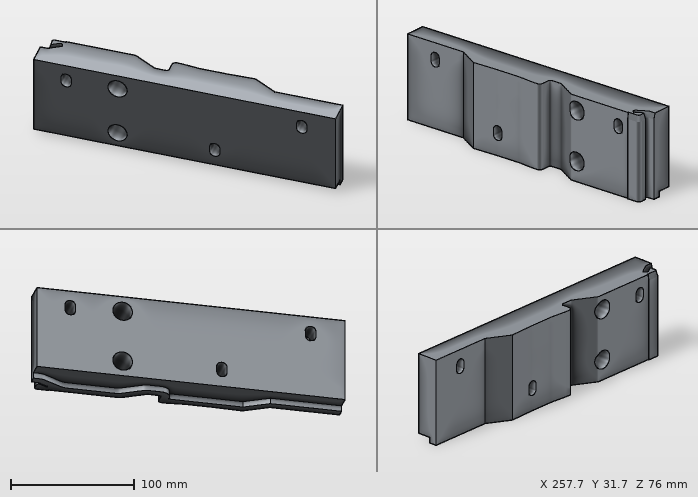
import cadquery as cq
import math

length = 257.7
height = 76.0
crest_y = 31.7
land_y = 31.0
hollow_y = 30.2
low_y = 19.3
ramp_angle = math.radians(30)
ramp_run = (land_y - low_y) / math.tan(ramp_angle)

first_ramp_x = 77.0
wall_x = 108.7
crest_end_x = 116.0
hollow_start_x = 132.2
hollow_bottom_x = 154.5
second_ramp_x = 179.4
wall_top_round = 3.4

ledge_end_x = 6.0
hook_left_x = 4.6
hook_tip_x = 6.0
hook_end_x = 17.5
hook_round = 3.4
hook_tip_round = 1.8
slit_width = 1.3
slit_tip_x = 15.2
slit_tip_round = 0.49 * slit_width

relief_width = 1.5
relief_depth = 5.5
relief_floor_y = 16.8
relief_margin = 5.2

lip_height = 5.0
lip_thickness = 7.2
lip_round = 11.5
lip_wall_round = 9.3
lip_slit_start_x = 7.7
lip_first_ramp_x = 74.0
lip_second_ramp_x = 178.0

ramp_round = lip_round - lip_thickness
wall_foot_round = lip_wall_round - lip_thickness

round_hole_diameter = 16.2
round_hole_x = 71.6
round_hole_heights = (18.0, 63.0)
slot_width = 8.8
slot_length = 13.0
slot_centres = ((27.8, 61.0), (228.8, 61.0), (154.5, 20.0))


def rounded_outline(corners, base_z=0):
    """Closed outline from (x, y, radius) corners, each radius a tangent arc."""
    sketch = cq.Workplane("XY").workplane(offset=base_z)
    for index, (x, y, radius) in enumerate(corners):
        corner = cq.Vector(x, y)
        before = cq.Vector(*corners[index - 1][:2])
        after = cq.Vector(*corners[(index + 1) % len(corners)][:2])
        back = (before - corner).normalized()
        ahead = (after - corner).normalized()
        half_angle = back.getAngle(ahead) / 2
        setback = radius / math.tan(half_angle)
        entry = corner + back * setback
        draw_to = sketch.lineTo if index else sketch.moveTo
        sketch = draw_to(entry.x, entry.y)
        if radius:
            bisector = (back + ahead).normalized()
            middle = corner + bisector * (radius / math.sin(half_angle) - radius)
            leave = corner + ahead * setback
            sketch = sketch.threePointArc(middle.toTuple()[:2], leave.toTuple()[:2])
    return sketch.close()


def slit_y(x, offset=0):
    """Height at x of a line parallel to the lower slit face, offset above it."""
    return low_y + (x - ledge_end_x) * math.tan(ramp_angle) + offset / math.cos(ramp_angle)


def hook_corners():
    """Corners from the ledge, around the slit, to the top of the hook."""
    end_upper_x = slit_tip_x - slit_width * math.sin(ramp_angle)
    return [
        (ledge_end_x, low_y, ramp_round),
        (slit_tip_x, slit_y(slit_tip_x), slit_tip_round),
        (end_upper_x, slit_y(end_upper_x, slit_width), slit_tip_round),
        (hook_tip_x, slit_y(hook_tip_x, slit_width), hook_tip_round),
        (hook_left_x, crest_y, hook_round),
    ]


def plate():
    corners = [(0, 0, 0), (0, low_y, 0)] + hook_corners() + [
        (hook_end_x, crest_y, 0),
        (hook_end_x, land_y, 0),
        (first_ramp_x, land_y, ramp_round),
        (first_ramp_x + ramp_run, low_y, ramp_round),
        (wall_x, low_y, wall_foot_round),
        (wall_x, crest_y, wall_top_round),
        (crest_end_x, crest_y, 0),
        (hollow_start_x, hollow_y, 0),
        (hollow_bottom_x, hollow_y, 0),
        (second_ramp_x, land_y, 0),
        (second_ramp_x + ramp_run, low_y, 0),
        (length, low_y, 0),
        (length, 0, 0),
    ]
    return rounded_outline(corners).extrude(height)


def hook_relief():
    """Sliver between the straight hook outline and its tapered version."""
    base_z = height - relief_depth
    left = -relief_margin
    right = hook_end_x + relief_margin
    bottom = relief_floor_y - relief_margin
    corners = [(left, bottom, 0), (left, low_y, 0)] + hook_corners()
    corners += [(right, crest_y, 0), (right, bottom, 0)]
    taper = math.degrees(math.atan(relief_width / relief_depth))
    tapered = rounded_outline(corners, base_z).extrude(relief_depth, taper=taper)
    zone = cq.Workplane("XY").box(
        hook_end_x, crest_y - relief_floor_y, relief_depth, centered=False
    )
    return zone.translate((0, relief_floor_y, base_z)).cut(tapered)


def lip_undercut():
    """Material removed behind the lip on the underside."""
    back_low = low_y - lip_thickness
    back_high = land_y - lip_thickness
    back_wall_x = wall_x + lip_thickness
    corners = [
        (0, 0, 0),
        (0, back_low, 0),
        (lip_slit_start_x, back_low, lip_round),
        (lip_slit_start_x + ramp_run, back_high, lip_round),
        (lip_first_ramp_x, back_high, lip_round),
        (lip_first_ramp_x + ramp_run, back_low, lip_round),
        (back_wall_x, back_low, lip_wall_round),
        (back_wall_x, back_high, 0),
        (lip_second_ramp_x, back_high, 0),
        (lip_second_ramp_x + ramp_run, back_low, 0),
        (length, back_low, 0),
        (length, 0, 0),
    ]
    return rounded_outline(corners).extrude(lip_height)


def through_holes():
    round_centres = [(round_hole_x, z) for z in round_hole_heights]
    rounds = cq.Workplane("XZ").pushPoints(round_centres).circle(round_hole_diameter / 2)
    slots = cq.Workplane("XZ").pushPoints(slot_centres).slot2D(slot_length, slot_width, 90)
    return rounds.extrude(-crest_y).union(slots.extrude(-crest_y))


result = plate().cut(hook_relief()).cut(lip_undercut()).cut(through_holes())